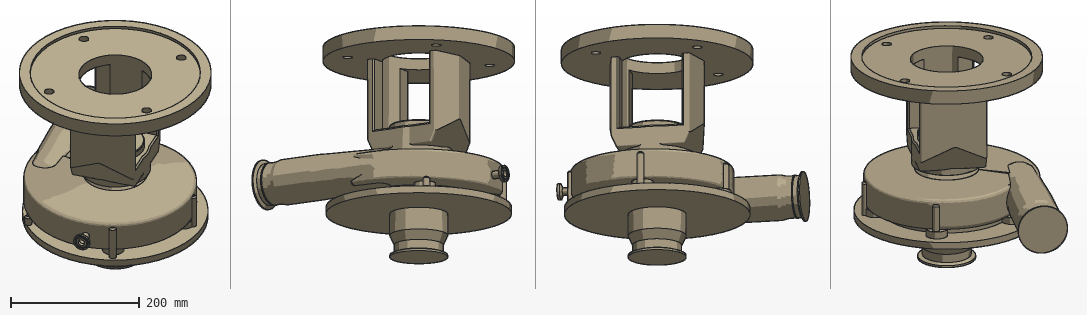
import cadquery as cq
import math


inlet_flange_radius = 45.5
inlet_flange_rim = 3.5
inlet_flange_height = 6.0
inlet_tube_radius = 38.5
inlet_cone_bottom = 19.5
inlet_cone_top = 34.7
inlet_pipe_radius = 45.5
base_plate_radius = 145.0
base_plate_bottom = 69.5
base_plate_top = 80.5

volute_bottom = 92.0
volute_rim = 141.8
volute_crown = 148.8
volute_max_radius = 146.2
volute_min_radius = 114.5
spiral_start_angle = 165
volute_edge_radius = 6.0
spiral_steps = 24
pedestal_radius = 103.5
neck_foot_radius = 50.2
neck_radius = 46.5
neck_shoulder = 154.7

post_radius = 5.5
post_chamfer = 2.5
tall_post_top = 135.5
tall_post_angles = (0, 72, 288)
short_post_top = 96.0
short_post_angles = (144, 216)
pad_circle_radius = 113.5
pad_radius = 17.0

outlet_x = -115.0
outlet_z = 118.5
outlet_end = 211.5
outlet_flange_radius = 39.0
outlet_flange_rim = 2.2
outlet_flange_thickness = 5.0
outlet_tube_radius = 33.2
outlet_bead_radius = 34.0
outlet_bead_start = 197.0
outlet_bead_length = 2.0
outlet_tube_start = 188.0
outlet_shoulder = 181.0
outlet_shoulder_radius = 34.0
outlet_pipe_start = 174.5
outlet_pipe_radius = 35.8
outlet_taper_end = 106.7
outlet_root_radius = 31.8
outlet_nose_length = 22.0

drain_z = 115.2
drain_end = 157.5
drain_root = 125.5
drain_flange_radius = 13.0
drain_flange_rim = 4.0
drain_flange_thickness = 7.5
drain_stem_radius = 6.3
drain_bore_radius = 5.0
drain_bore_depth = 22.0
drain_groove_outer = 10.5
drain_groove_inner = 9.0
drain_groove_depth = 1.0

collar_radius = 55.0
collar_bottom = 158.5
hub_radius = 45.8
hub_top = 210.5
hub_chamfer = 1.5
fork_half_width = 52.8
fork_bottom = 167.2
fork_floor = 200.0
fork_bottom_reach = 54.0
fork_ridge_reach = 75.0
fork_ridge_half_width = 2.0
fork_side_reach = 62.0
fork_slope_top = 212.3
fork_corner_radius = 3.0
window_half_width = 50.2
window_edge_chamfer = 2.5

disc_radius = 150.0
disc_bottom = 314.2
disc_top = 336.5
disc_bore_radius = 57.0
recess_radius = 133.0
recess_depth = 4.5
bolt_offset = 81.0
bolt_hole_radius = 7.5


def cylinder(radius, bottom, top, x=0, y=0):
    return cq.Workplane("XY", origin=(x, y, bottom)).circle(radius).extrude(top - bottom)


def turned(points):
    """Solid of revolution about Z from (radius, z) points."""
    return cq.Workplane("XZ").polyline(points).close().revolve(360, (0, 0), (0, 1))


def inlet_and_base():
    inlet = turned([
        (0, 0),
        (inlet_flange_radius, 0),
        (inlet_flange_radius, inlet_flange_rim),
        (inlet_tube_radius, inlet_flange_height),
        (inlet_tube_radius, inlet_cone_bottom),
        (inlet_pipe_radius, inlet_cone_top),
        (inlet_pipe_radius, base_plate_bottom),
        (0, base_plate_bottom),
    ])
    plate = cylinder(base_plate_radius, base_plate_bottom, base_plate_top)
    pedestal = cylinder(pedestal_radius, base_plate_top, volute_bottom)
    return inlet.union(plate).union(pedestal)


def spiral_radius(turn):
    """Radius of the casing wall after a fraction of one turn."""
    return volute_max_radius + (volute_min_radius - volute_max_radius) * turn


def spiral_wire(radius_at, height):
    """One anticlockwise turn with the given radius at each fraction, joined by a straight step."""
    points = []
    for step in range(spiral_steps + 1):
        turn = step / spiral_steps
        angle = math.radians(spiral_start_angle) + 2 * math.pi * turn
        points.append((radius_at(turn) * math.cos(angle), radius_at(turn) * math.sin(angle)))
    return cq.Workplane("XY", origin=(0, 0, height)).spline(points).close().wire().val()


def volute():
    outline = spiral_wire(spiral_radius, volute_bottom)
    casing = cq.Workplane("XY").add(outline).toPending().extrude(volute_rim - volute_bottom)
    casing = casing.faces("<Z or >Z").edges("not %LINE").fillet(volute_edge_radius)
    rim = spiral_wire(lambda turn: spiral_radius(turn) - volute_edge_radius, volute_rim)
    rim_top = spiral_wire(
        lambda turn: neck_foot_radius + (neck_radius - neck_foot_radius) * turn, volute_crown
    )
    crown = cq.Workplane("XY").add(cq.Solid.makeLoft([rim, rim_top], True))
    neck = turned([
        (0, volute_rim),
        (neck_foot_radius, volute_rim),
        (neck_foot_radius, volute_crown),
        (neck_radius, neck_shoulder),
        (neck_radius, collar_bottom),
        (0, collar_bottom),
    ])
    return casing.union(crown).union(neck)


def post(angle, top):
    """Chamfered post at the given angle, with a wider pad beside it under the casing."""
    along = cq.Vector(math.cos(math.radians(angle)), math.sin(math.radians(angle)), 0)
    turn = (angle - spiral_start_angle) % 360 / 360
    post_at = along * spiral_radius(turn)
    pad_at = along * pad_circle_radius
    shaft = cylinder(post_radius, base_plate_top, top, post_at.x, post_at.y)
    pad = cylinder(pad_radius, base_plate_top, volute_bottom, pad_at.x, pad_at.y)
    return shaft.faces(">Z").chamfer(post_chamfer).union(pad)


def posts():
    group = cq.Workplane("XY")
    for angle in tall_post_angles:
        group = group.union(post(angle, tall_post_top))
    for angle in short_post_angles:
        group = group.union(post(angle, short_post_top))
    return group


def outlet():
    profile = (
        cq.Workplane("XY", origin=(outlet_x, 0, outlet_z))
        .moveTo(0, -outlet_nose_length)
        .spline(
            [(outlet_root_radius, 0)],
            tangents=[(1, 0), (outlet_pipe_radius - outlet_root_radius, outlet_taper_end)],
            includeCurrent=True,
        )
        .lineTo(outlet_pipe_radius, outlet_taper_end)
        .lineTo(outlet_pipe_radius, outlet_pipe_start)
        .lineTo(outlet_shoulder_radius, outlet_shoulder)
        .lineTo(outlet_tube_radius, outlet_tube_start)
        .lineTo(outlet_tube_radius, outlet_bead_start)
        .lineTo(outlet_bead_radius, outlet_bead_start)
        .lineTo(outlet_bead_radius, outlet_bead_start + outlet_bead_length)
        .lineTo(outlet_tube_radius, outlet_bead_start + outlet_bead_length)
        .lineTo(outlet_tube_radius, outlet_end - outlet_flange_thickness)
        .lineTo(outlet_flange_radius, outlet_end - outlet_flange_rim)
        .lineTo(outlet_flange_radius, outlet_end)
        .lineTo(0, outlet_end)
        .close()
    )
    return profile.revolve(360, (0, 0), (0, 1))


def drain():
    profile = cq.Workplane("XY", origin=(0, 0, drain_z)).polyline([
        (0, -drain_root),
        (drain_stem_radius, -drain_root),
        (drain_stem_radius, drain_flange_thickness - drain_end),
        (drain_flange_radius, drain_flange_rim - drain_end),
        (drain_flange_radius, -drain_end),
        (0, -drain_end),
    ]).close()
    return profile.revolve(360, (0, 0), (0, 1))


def drain_cuts():
    face = cq.Workplane("XZ", origin=(0, -drain_end, drain_z))
    bore = face.circle(drain_bore_radius).extrude(-drain_bore_depth)
    groove = face.circle(drain_groove_outer).circle(drain_groove_inner).extrude(-drain_groove_depth)
    return bore.union(groove)


def fork():
    plan = [
        (fork_half_width, fork_side_reach),
        (fork_ridge_half_width, fork_ridge_reach),
        (-fork_ridge_half_width, fork_ridge_reach),
        (-fork_half_width, fork_side_reach),
    ]
    plan += [(-x, -y) for x, y in plan]
    column = cq.Workplane("XY", origin=(0, 0, fork_bottom)).polyline(plan).close()
    column = column.extrude(disc_bottom - fork_bottom)

    side = cq.Workplane("YZ").polyline([
        (fork_bottom_reach, fork_bottom),
        (fork_ridge_reach, fork_slope_top),
        (fork_ridge_reach, disc_bottom),
        (-fork_ridge_reach, disc_bottom),
        (-fork_ridge_reach, fork_slope_top),
        (-fork_bottom_reach, fork_bottom),
    ]).close().extrude(fork_half_width, both=True)

    window_height = disc_bottom - fork_floor
    window = cq.Workplane("XY", origin=(0, 0, fork_floor + window_height / 2)).box(
        2 * fork_half_width, 2 * window_half_width, window_height
    )
    bore = cylinder(disc_bore_radius, fork_floor, disc_bottom)
    body = column.intersect(side)
    body = body.faces("<X or >X or <Z").edges("not >Z").fillet(fork_corner_radius)
    body = body.cut(window)
    around_window = cq.selectors.BoxSelector(
        (-collar_radius, -window_half_width - window_edge_chamfer, fork_floor - window_edge_chamfer),
        (collar_radius, window_half_width + window_edge_chamfer, disc_top),
        boundingbox=True,
    )
    return body.edges(around_window).edges("not |X").chamfer(window_edge_chamfer).cut(bore)


def hub():
    collar = cylinder(collar_radius, collar_bottom, fork_floor).faces(">Z").chamfer(window_edge_chamfer)
    shaft_hub = cylinder(hub_radius, fork_floor, hub_top).faces(">Z").chamfer(hub_chamfer)
    return collar.union(shaft_hub)


def top_disc():
    disc = cylinder(disc_radius, disc_bottom, disc_top)
    disc = disc.cut(cylinder(recess_radius, disc_top - recess_depth, disc_top))
    disc = disc.cut(cylinder(disc_bore_radius, disc_bottom, disc_top))
    for x in (-bolt_offset, bolt_offset):
        for y in (-bolt_offset, bolt_offset):
            disc = disc.cut(cylinder(bolt_hole_radius, disc_bottom, disc_top, x, y))
    return disc


result = inlet_and_base()
for feature in (volute(), posts(), outlet(), drain(), hub(), fork(), top_disc()):
    result = result.union(feature)
result = result.cut(drain_cuts())